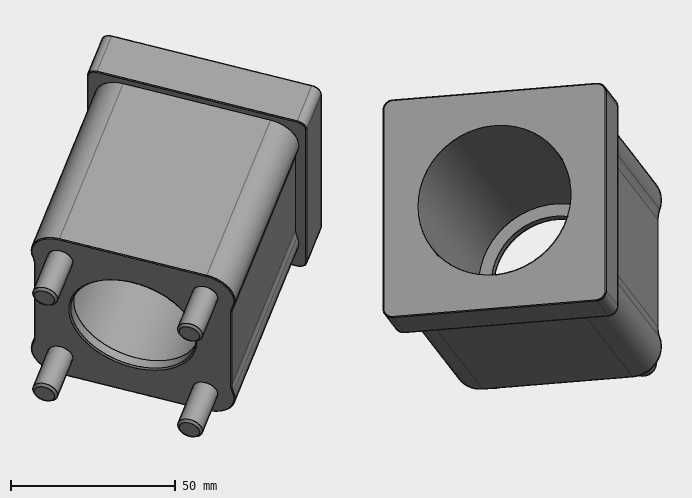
import cadquery as cq
import math

total_length = 95.0
flange_size = 70.0
flange_thickness = 15.0
flange_corner_radius = 3.0
pin_length = 16.0
edge_chamfer = 0.3

back_y = total_length / 2
flange_front_y = back_y - flange_thickness
body_front_y = -back_y + pin_length

body_size = 65.1
lobe_radius = 9.0
side_recess = 1.0
recess_blend_radius = 10.0

bore_diameter = 48.0
neck_diameter = 40.0
neck_length = 3.5
neck_chamfer = 0.5

pin_diameter = 8.0
pin_spacing = 46.3
pin_chamfer = 0.8


def section_at(y):
    """Workplane whose local axes are +X and +Z, extruding toward -Y."""
    return cq.Workplane("XZ", origin=(0, y, 0))


def body_outline(plane):
    half = body_size / 2
    lobe_center = half - lobe_radius
    flat_x = half - side_recess
    angle = math.acos(1 - side_recess / (lobe_radius + recess_blend_radius))

    def on_lobe(turn):
        return (lobe_center + lobe_radius * math.cos(turn), lobe_center + lobe_radius * math.sin(turn))

    blend_center_x = flat_x + recess_blend_radius
    blend_center_z = lobe_center - (lobe_radius + recess_blend_radius) * math.sin(angle)

    def on_blend(turn):
        return (
            blend_center_x - recess_blend_radius * math.cos(turn),
            blend_center_z + recess_blend_radius * math.sin(turn),
        )

    return (
        plane.moveTo(0, half)
        .lineTo(lobe_center, half)
        .threePointArc(on_lobe((math.pi / 2 - angle) / 2), on_lobe(-angle))
        .threePointArc(on_blend(angle / 2), on_blend(0))
        .lineTo(flat_x, 0)
    )


def make_body():
    length = flange_front_y - body_front_y
    quarter = body_outline(section_at(flange_front_y)).lineTo(0, 0).close().extrude(length)
    half = quarter.union(quarter.mirror("YZ"))
    body = half.union(half.mirror("XY")).clean()
    return body.faces("<Y").chamfer(edge_chamfer)


def make_flange():
    return (
        section_at(back_y)
        .rect(flange_size, flange_size)
        .extrude(flange_thickness)
        .edges("|Y")
        .fillet(flange_corner_radius)
        .faces("<Y or >Y")
        .chamfer(edge_chamfer)
    )


def make_pins():
    return (
        section_at(body_front_y)
        .rect(pin_spacing, pin_spacing, forConstruction=True)
        .vertices()
        .circle(pin_diameter / 2)
        .extrude(pin_length)
        .faces("<Y")
        .chamfer(pin_chamfer)
    )


def make_bore():
    neck_back_y = body_front_y + neck_length
    wide_bore = section_at(back_y).circle(bore_diameter / 2).extrude(back_y - neck_back_y)
    neck = section_at(neck_back_y).circle(neck_diameter / 2).extrude(neck_length)
    chamfer_cone = (
        section_at(body_front_y)
        .circle(neck_diameter / 2 + neck_chamfer)
        .workplane(offset=-neck_chamfer)
        .circle(neck_diameter / 2)
        .loft()
    )
    return wide_bore.union(neck).union(chamfer_cone)


result = make_flange().union(make_body()).cut(make_bore()).union(make_pins())